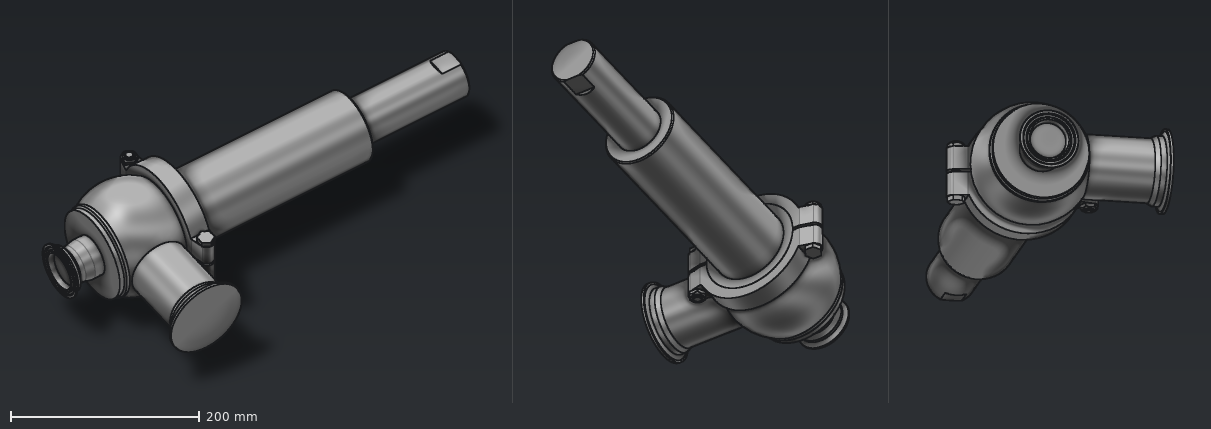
import cadquery as cq
import math


ball_radius = 65.5
tube_radius = 42.5
tube_end = 286.0
tube_chamfer = 1.5
stem_radius = 27.0
stem_end = 421.0
stem_chamfer = 1.5

flat_distance = 24.5
flat_length = 25.5
flat_runout = stem_radius - flat_distance

rim_radius = 54.0
rim_chamfer_start = -40.5
cover_radius = 52.0
cover_back = -42.5
cover_face = -48.0

neck_radius = 23.5
neck_taper_start = -60.5
neck_taper_end = -71.0
neck_end_radius = 21.5
inlet_cone_start = -77.5
inlet_collar_radius = 27.0
inlet_collar_back = -81.5
inlet_collar_front = -84.5
inlet_flange_radius = 31.5
inlet_flange_back = -88.5
inlet_face = -90.5
inlet_bore_radius = 21.5
inlet_floor_radius = 19.5
inlet_bore_depth = 6.5
groove_radius = 26.0
groove_width = 5.0
groove_floor_width = 2.5
groove_depth = 1.5

outlet_radius = 35.0
outlet_cone_start = 127.0
outlet_collar_radius = 38.0
outlet_collar_back = 132.5
outlet_collar_front = 139.0
outlet_flange_radius = 45.5
outlet_cone_radius = 43.0
outlet_flange_back = 141.5
outlet_face = 145.0

clamp_radius = 66.5
clamp_front = 37.5
clamp_back = 61.0
clamp_width = clamp_back - clamp_front
clamp_middle = (clamp_front + clamp_back) / 2
clamp_bore_radius = math.sqrt(ball_radius**2 - clamp_front**2)
clamp_gap = 3.0
lug_reach = 82.5
lug_root = 62.0
lug_shoulder = 77.5
lug_shoulder_width = 16.0
lug_height = 54.0
bolt_offset = 72.0
bolt_radius = 5.0
bolt_tip = 34.5
bolt_chamfer = 1.0
hex_corner_radius = 9.5
hex_height = 5.5
hex_top = lug_height / 2 + hex_height
nut_chamfer_radius = 7.0


def disc(radius, start, end):
    """Cylinder on the Y axis between two Y positions."""
    return cq.Workplane("XZ", origin=(0, start, 0)).circle(radius).extrude(start - end)


def make_core():
    """Everything turned about the valve axis: stem, tube, clamp seat, ball, rim, cover and neck."""
    ball_front = -math.sqrt(ball_radius**2 - rim_radius**2)
    return (
        cq.Workplane("XY")
        .moveTo(0, stem_end)
        .lineTo(stem_radius - stem_chamfer, stem_end)
        .lineTo(stem_radius, stem_end - stem_chamfer)
        .lineTo(stem_radius, tube_end)
        .lineTo(tube_radius - tube_chamfer, tube_end)
        .lineTo(tube_radius, tube_end - tube_chamfer)
        .lineTo(tube_radius, clamp_back)
        .lineTo(clamp_bore_radius, clamp_back)
        .lineTo(clamp_bore_radius, clamp_front)
        .threePointArc((ball_radius, 0), (rim_radius, ball_front))
        .lineTo(rim_radius, rim_chamfer_start)
        .lineTo(cover_radius, cover_back)
        .lineTo(cover_radius, cover_face)
        .lineTo(neck_radius, cover_face)
        .lineTo(neck_radius, neck_taper_start)
        .lineTo(neck_end_radius, neck_taper_end)
        .lineTo(neck_end_radius, inlet_cone_start)
        .lineTo(inlet_collar_radius, inlet_collar_back)
        .lineTo(inlet_collar_radius, inlet_collar_front)
        .lineTo(inlet_flange_radius, inlet_flange_back)
        .lineTo(inlet_flange_radius, inlet_face)
        .lineTo(0, inlet_face)
        .close()
        .revolve(360, (0, 0, 0), (0, 1, 0))
    )


def make_inlet_bore():
    """Shallow tapered bore in the inlet face."""
    bore_floor = inlet_face + inlet_bore_depth
    return (
        cq.Workplane("XY")
        .polyline([
            (0, inlet_face),
            (inlet_bore_radius, inlet_face),
            (inlet_floor_radius, bore_floor),
            (0, bore_floor),
        ])
        .close()
        .revolve(360, (0, 0, 0), (0, 1, 0))
    )


def make_gasket_groove():
    """Ring groove with sloped walls in the inlet face."""
    return (
        cq.Workplane("XY")
        .polyline([
            (groove_radius - groove_width / 2, inlet_face),
            (groove_radius + groove_width / 2, inlet_face),
            (groove_radius + groove_floor_width / 2, inlet_face + groove_depth),
            (groove_radius - groove_floor_width / 2, inlet_face + groove_depth),
        ])
        .close()
        .revolve(360, (0, 0, 0), (0, 1, 0))
    )


def make_flat_cut(side):
    """Wrench flat with a sloped runout; side is 1 for +Z and -1 for -Z."""
    flat_start = stem_end - flat_length
    return (
        cq.Workplane("YZ")
        .polyline([
            (stem_end, side * flat_distance),
            (flat_start, side * flat_distance),
            (flat_start - flat_runout, side * stem_radius),
            (stem_end, side * stem_radius),
        ])
        .close()
        .extrude(stem_radius, both=True)
    )


def make_outlet():
    """Side outlet pipe with its ferrule."""
    return (
        cq.Workplane("XY")
        .polyline([
            (0, 0),
            (0, outlet_radius),
            (outlet_cone_start, outlet_radius),
            (outlet_collar_back, outlet_collar_radius),
            (outlet_collar_front, outlet_collar_radius),
            (outlet_flange_back, outlet_cone_radius),
            (outlet_flange_back, outlet_flange_radius),
            (outlet_face, outlet_flange_radius),
            (outlet_face, 0),
        ])
        .close()
        .revolve(360, (0, 0, 0), (1, 0, 0))
    )


def make_valve():
    """Valve body with its outlet, inlet bore and wrench flats."""
    valve = make_core().union(make_outlet()).cut(make_inlet_bore()).cut(make_gasket_groove())
    for side in (1, -1):
        valve = valve.cut(make_flat_cut(side))
    return valve


def make_lug():
    """Lug on the -X side: tapers from the full ring width to a round end."""
    root_half = clamp_width / 2
    shoulder_half = lug_shoulder_width / 2
    return (
        cq.Workplane("XY", origin=(0, clamp_middle, -lug_height / 2))
        .moveTo(-clamp_bore_radius, root_half)
        .lineTo(-lug_root, root_half)
        .lineTo(-lug_shoulder, shoulder_half)
        .threePointArc((-lug_reach, 0), (-lug_shoulder, -shoulder_half))
        .lineTo(-lug_root, -root_half)
        .lineTo(-clamp_bore_radius, -root_half)
        .close()
        .extrude(lug_height)
    )


def make_hex():
    """Hexagon standing on the upper lug face, with corners along X."""
    return (
        cq.Workplane("XY", origin=(-bolt_offset, clamp_middle, lug_height / 2))
        .polygon(6, 2 * hex_corner_radius)
        .extrude(hex_height)
    )


def make_bolt():
    """Bolt of the -X lug: nut and bolt tip on top, plain hexagon head below."""
    nut_cone = (
        cq.Workplane("XY", origin=(-bolt_offset, clamp_middle, hex_top))
        .circle(nut_chamfer_radius)
        .extrude(-hex_height, taper=-45)
    )
    nut = make_hex().intersect(nut_cone)
    head = make_hex().mirror("XY")
    shank = (
        cq.Workplane("XY", origin=(-bolt_offset, clamp_middle, -lug_height / 2))
        .circle(bolt_radius)
        .extrude(lug_height / 2 + bolt_tip)
        .faces(">Z")
        .chamfer(bolt_chamfer)
    )
    return shank.union(nut).union(head)


def make_clamp():
    """Ring split at Z = 0 and held by a bolt through the lugs on each side."""
    half_turns = (0, 180)
    axis_end = (0, 1, 0)
    clamp = disc(clamp_radius, clamp_front, clamp_back)
    ring_side_limits = cq.Workplane("XY", origin=(0, clamp_middle, 0)).box(
        2 * lug_root, clamp_width, 2 * clamp_radius
    )
    clamp = clamp.intersect(ring_side_limits)
    for angle in half_turns:
        clamp = clamp.union(make_lug().rotate((0, 0, 0), axis_end, angle))
    clamp = clamp.cut(disc(clamp_bore_radius, clamp_front, clamp_back))
    split = cq.Workplane("XY", origin=(0, clamp_middle, 0)).box(2 * lug_reach, clamp_width, clamp_gap)
    clamp = clamp.cut(split)
    for angle in half_turns:
        clamp = clamp.union(make_bolt().rotate((0, 0, 0), axis_end, angle))
    return clamp


valve = make_valve()
clamp = make_clamp()
result = cq.Compound.makeCompound([valve.val(), clamp.val()])